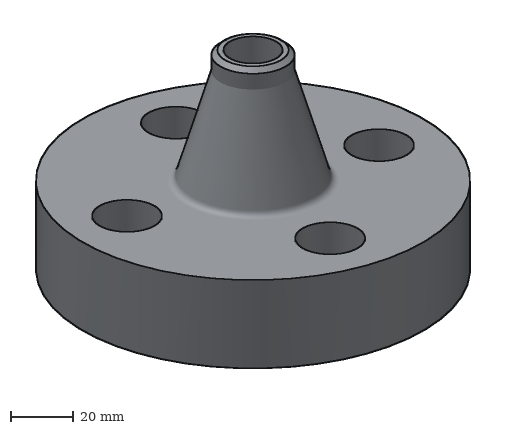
import cadquery as cq

flange_diameter = 139.7
flange_thickness = 32.0
total_height = 79.2

hub_base_diameter = 51.1
neck_diameter = 26.8
neck_length = 7.4
weld_bevel_width = 2.0
weld_bevel_height = 1.7
hub_fillet_radius = 2.8

bore_diameter = 19.0
bolt_count = 4
bolt_circle_diameter = 95.0
bolt_hole_diameter = 22.5


def flange_body():
    """Disc, tapered hub and bevelled neck, revolved about Z with the bottom face at Z = 0."""
    neck_radius = neck_diameter / 2
    outline = (
        cq.Workplane("XZ")
        .moveTo(0, 0)
        .lineTo(flange_diameter / 2, 0)
        .lineTo(flange_diameter / 2, flange_thickness)
        .lineTo(hub_base_diameter / 2, flange_thickness)
        .lineTo(neck_radius, total_height - neck_length)
        .lineTo(neck_radius, total_height - weld_bevel_height)
        .lineTo(neck_radius - weld_bevel_width, total_height)
        .lineTo(0, total_height)
        .close()
    )
    return outline.revolve(360, (0, 0, 0), (0, 1, 0))


def round_hub_base(body):
    """Blend the hub into the top face of the disc."""
    hub_radius = hub_base_diameter / 2
    margin = 0.7
    root_edge = cq.selectors.BoxSelector(
        (-hub_radius - margin, -hub_radius - margin, flange_thickness - margin),
        (hub_radius + margin, hub_radius + margin, flange_thickness + margin),
        boundingbox=True,
    )
    return body.edges(root_edge).fillet(hub_fillet_radius)


def bolt_holes():
    """Through holes on the bolt circle, one on each horizontal axis direction."""
    return (
        cq.Workplane("XY")
        .polarArray(bolt_circle_diameter / 2, 0, 360, bolt_count)
        .circle(bolt_hole_diameter / 2)
        .extrude(flange_thickness)
    )


def bore():
    """Pipe bore through the full height."""
    return cq.Workplane("XY").circle(bore_diameter / 2).extrude(total_height)


result = round_hub_base(flange_body()).cut(bolt_holes()).cut(bore())